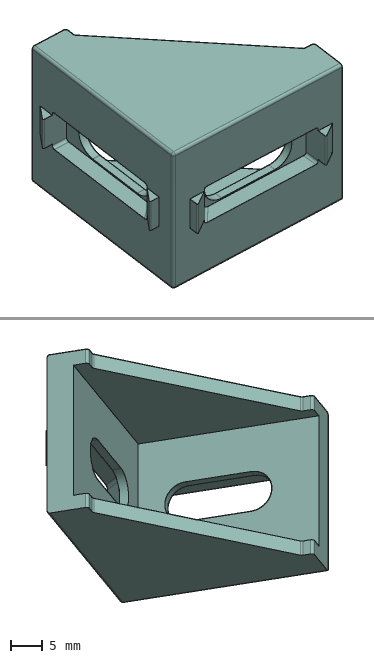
import cadquery as cq
import math

overall = 36.83
height = 28.0
foot_height = 7.0
foot_step = 2.03
plate_thickness = 4.5
side_thickness = 2.5
edge_radius = 0.5

slot_length = 18.05
slot_width = 7.0
slot_start = 7.95

recess_start = 4.97
recess_length = 23.57
recess_width = 7.5
recess_depth = 3.0

barb_length = 3.0
barb_width = 6.0
barb_depth = 2.0
barb_tip_radius = 0.2

barb_tip_angle = math.atan2(barb_length, barb_depth)
barb_reach = barb_depth + barb_tip_radius * (1 - 1 / math.tan(barb_tip_angle / 2))
leg = overall - barb_reach
recess_end = recess_start + recess_length
slot_end = slot_start + slot_length



def mirror_leg(shape):
    """Swap the leg along X for the leg along Y."""
    return shape.mirror("XZ").rotate((0, 0, 0), (0, 0, 1), -90).translate((leg, leg, 0))


def make_body():
    outline = [
        (0, 0),
        (leg, 0),
        (leg, leg),
        (leg - foot_height, leg),
        (leg - foot_height, leg - foot_step),
        (foot_step, foot_height),
        (0, foot_height),
    ]
    body = cq.Workplane("XY").polyline(outline).close().extrude(height / 2, both=True)
    body = body.edges("|Z").edges("not(<Y or >X)").fillet(edge_radius)
    return body.faces("<Y or >X").edges("not(<X or >Y)").fillet(edge_radius)


def make_cavity():
    """Space between the two side walls, open toward the diagonal."""
    size = leg - plate_thickness
    return cq.Workplane("XY").box(size, size, height - 2 * side_thickness).translate(
        (size / 2, plate_thickness + size / 2, 0)
    )


def make_slot():
    return (
        cq.Workplane("XZ")
        .center((slot_start + slot_end) / 2, 0)
        .slot2D(slot_length, slot_width)
        .extrude(-plate_thickness)
    )


def make_recess():
    """Pocket in the outer face, with a sloping wall nearest the outer corner."""
    profile = [
        (recess_start, 0),
        (recess_end, 0),
        (slot_end, recess_depth),
        (recess_start, recess_depth),
    ]
    recess = cq.Workplane("XY").polyline(profile).close().extrude(recess_width / 2, both=True)
    return recess.faces("<X or >X").edges("not |Z").fillet(edge_radius)


def make_barb(start):
    profile = [(start, 0), (start + barb_length, -barb_depth), (start + barb_length, 0)]
    barb = cq.Workplane("XY").polyline(profile).close().extrude(barb_width / 2, both=True)
    return barb.edges("|Z and <Y").fillet(barb_tip_radius)


result = make_body().cut(make_cavity())
leg_cuts = make_slot().union(make_recess())
leg_barbs = make_barb(recess_start - barb_length).union(make_barb(recess_end))
result = result.cut(leg_cuts).cut(mirror_leg(leg_cuts))
result = result.union(leg_barbs).union(mirror_leg(leg_barbs))